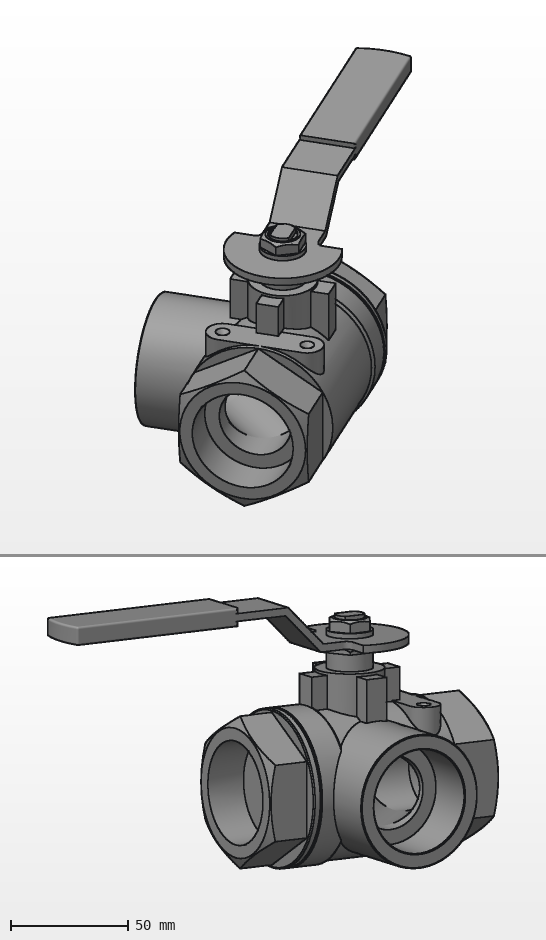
import cadquery as cq
import math


overall_height = 117.5
overall_length = 202.0
overall_width = 91.5
port_reach = 57.0

body_diameter = 66.5
body_front = -34.8
flange_diameter = 69.0
flange_start = 20.2
flange_end = 38.8
flange_rim_chamfer = 0.6
groove_center = 35.0
groove_width = 0.8
groove_depth = 0.5

hex_across_flats = 57.4
hex_face_diameter = 56.2
hex_corner_drop = 2.5
side_port_diameter = 58.0
side_port_chamfer = 0.5
socket_diameter = 45.0
pipe_socket_depth = 17.8
side_socket_depth = 23.5
side_socket_chamfer = 0.5
passage_diameter = 32.1
passage_bend_start = 24.2

lug_width = 14.3
lug_spacing = 37.8
lug_center_y = -25.5
lug_crest_drop = 0.0087
lug_dimple_diameter = 6.0
lug_dimple_angle = 90.0

housing_diameter = 30.0
housing_top = 48.7
rib_span = 44.0
rib_width = 10.0
rib_top = 47.5

stem_diameter = 20.0
lock_nut_bottom = 56.5
lock_nut_across_flats = 23.2
lock_nut_face_diameter = 22.8
lock_nut_corner_drop = 1.8
washer_diameter = 20.0
washer_top = 65.3
top_nut_across_flats = 17.2
top_nut_face_diameter = 15.0
top_nut_corner_drop = 1.2
top_nut_top = 70.5
tip_diameter = 12.7
tip_flats = 8.5
tip_flats_bottom = 69.5
tip_top = 72.0

plate_diameter = 50.5
plate_bottom = 59.6
plate_back = 7.9
lever_thickness = 3.5
lever_width = 24.9
lever_bend_y = 20.6
lever_bend_angle = 45.0
lever_corner_radius = 3.0

grip_height = 8.0
grip_start = 63.0
grip_end_bulge = 1.8
grip_edge_radius = 1.0

body_radius = body_diameter / 2
flange_radius = flange_diameter / 2
side_port_reach = overall_width - flange_radius
lug_top = body_radius - lug_crest_drop
lever_tip = overall_length - port_reach
grip_top = overall_height - flange_radius
grip_middle = grip_top - grip_height / 2


def cylinder(diameter, bottom, top):
    """Round bar along Z."""
    return cq.Workplane("XY").workplane(offset=bottom).circle(diameter / 2).extrude(top - bottom)


def cylinder_y(diameter, start, end):
    """Round bar along Y."""
    return cq.Workplane("XZ", origin=(0, start, 0)).circle(diameter / 2).extrude(start - end)


def cylinder_x(diameter, start, end):
    """Round bar along X."""
    return cq.Workplane("YZ", origin=(start, 0, 0)).circle(diameter / 2).extrude(end - start)


def chamfered_hex(across_flats, bottom, top, face_diameter, corner_drop):
    """Hexagon along Z with corners toward +Y and -Y and a turned chamfer on its upper end."""
    corner_radius = across_flats / 2 / math.cos(math.radians(30))
    prism = (
        cq.Workplane("XY")
        .workplane(offset=bottom)
        .transformed(rotate=(0, 0, 90))
        .polygon(6, 2 * corner_radius)
        .extrude(top - bottom)
    )
    turned = (
        cq.Workplane("XZ")
        .moveTo(0, bottom)
        .lineTo(corner_radius, bottom)
        .lineTo(corner_radius, top - corner_drop)
        .lineTo(face_diameter / 2, top)
        .lineTo(0, top)
        .close()
        .revolve(360, (0, 0, 0), (0, 1, 0))
    )
    return prism.intersect(turned)


def pipe_hex(inner_end, turn):
    """Hexagonal pipe end, turned about X from the Z axis onto the Y axis."""
    end = chamfered_hex(hex_across_flats, inner_end, port_reach, hex_face_diameter, hex_corner_drop)
    return end.rotate((0, 0, 0), (1, 0, 0), turn)


def make_flange():
    """Collar at the back of the body, sloping down to it and grooved near its outer end."""
    flange = cylinder_y(flange_diameter, flange_start, flange_end)
    flange = flange.faces("<Y").chamfer(flange_radius - body_radius)
    flange = flange.faces(">Y").chamfer(flange_rim_chamfer)
    groove_start = groove_center - groove_width / 2
    groove_ring = cylinder_y(flange_diameter, groove_start, groove_start + groove_width)
    groove_ring = groove_ring.cut(cylinder_y(flange_diameter - 2 * groove_depth, flange_start, flange_end))
    return flange.cut(groove_ring)


def make_lugs():
    """Rounded bar across the top of the body, merging downward into it."""
    return (
        cq.Workplane("XY", origin=(0, lug_center_y, 0))
        .slot2D(lug_spacing + lug_width, lug_width)
        .extrude(lug_top)
    )


def make_lug_dimples():
    """Two conical dimples in the top of the lugs."""
    dimple_radius = lug_dimple_diameter / 2
    depth = dimple_radius / math.tan(math.radians(lug_dimple_angle / 2))
    cone = cq.Workplane(cq.Solid.makeCone(0, dimple_radius, depth))
    cone = cone.translate((0, lug_center_y, lug_top - depth))
    left_dimple = cone.translate((-lug_spacing / 2, 0, 0))
    right_dimple = cone.translate((lug_spacing / 2, 0, 0))
    return left_dimple.union(right_dimple)


def make_housing():
    """Round stem housing with a cross of four ribs."""
    housing = cylinder(housing_diameter, 0, housing_top)
    for length_x, length_y in ((rib_span, rib_width), (rib_width, rib_span)):
        housing = housing.union(cq.Workplane("XY").rect(length_x, length_y).extrude(rib_top))
    return housing


def make_passage():
    """Elbow from the front port to the side port: three equal bores with mitred joints."""
    path = cq.Workplane("XY").polyline([
        (0, -port_reach),
        (0, -passage_bend_start),
        (-passage_bend_start, 0),
        (-side_port_reach, 0),
    ])
    section = cq.Workplane("XZ", origin=(0, -port_reach, 0)).circle(passage_diameter / 2)
    return section.sweep(path, transition="right")


def make_sockets():
    """Wide bores at the mouths of the three ports."""
    side = cylinder_x(socket_diameter, -side_port_reach, side_socket_depth - side_port_reach)
    front = cylinder_y(socket_diameter, -port_reach, pipe_socket_depth - port_reach)
    back = cylinder_y(socket_diameter, port_reach - pipe_socket_depth, port_reach)
    side_rim = cq.Workplane(cq.Solid.makeCone(
        socket_diameter / 2 + side_socket_chamfer,
        socket_diameter / 2,
        side_socket_chamfer,
        pnt=cq.Vector(-side_port_reach, 0, 0),
        dir=cq.Vector(1, 0, 0),
    ))
    return front.union(back).union(side).union(side_rim)


def make_stem():
    """Stem with lock nut, washer, top nut and a two-flat tip."""
    stem = cylinder(stem_diameter, housing_top, plate_bottom)
    stem = stem.union(chamfered_hex(
        lock_nut_across_flats, lock_nut_bottom, plate_bottom, lock_nut_face_diameter, lock_nut_corner_drop,
    ))
    stem = stem.union(cylinder(washer_diameter, plate_bottom, washer_top))
    stem = stem.union(chamfered_hex(
        top_nut_across_flats, washer_top, top_nut_top, top_nut_face_diameter, top_nut_corner_drop,
    ))
    stem = stem.union(cylinder(tip_diameter, top_nut_top, tip_top))
    flat_bar = cq.Workplane("XY").rect(tip_flats, tip_diameter).extrude(tip_top)
    return stem.cut(cylinder(tip_diameter, tip_flats_bottom, tip_top).cut(flat_bar))


def make_lever():
    """Round plate around the stem and a strip bent up and away from it."""
    plate_top = plate_bottom + lever_thickness
    strip_bottom = grip_middle - lever_thickness / 2
    rise = strip_bottom - plate_bottom
    run = rise / math.tan(math.radians(lever_bend_angle))
    miter = lever_thickness * math.tan(math.radians(lever_bend_angle / 2))
    second_bend_y = lever_bend_y + run
    strip_end = grip_start + 2 * grip_edge_radius
    strip = (
        cq.Workplane("YZ")
        .moveTo(0, plate_bottom)
        .lineTo(lever_bend_y + miter, plate_bottom)
        .lineTo(second_bend_y + miter, strip_bottom)
        .lineTo(strip_end, strip_bottom)
        .lineTo(strip_end, strip_bottom + lever_thickness)
        .lineTo(second_bend_y, strip_bottom + lever_thickness)
        .lineTo(lever_bend_y, plate_top)
        .lineTo(0, plate_top)
        .close()
        .extrude(lever_width / 2, both=True)
    )
    plate = cylinder(plate_diameter, plate_bottom, plate_top)
    behind_plate = (
        cq.Workplane("XY", origin=(0, plate_back, plate_bottom))
        .rect(plate_diameter, plate_diameter)
        .extrude(lever_thickness)
        .translate((0, plate_diameter / 2, 0))
    )
    lever = plate.cut(behind_plate).union(strip)
    inner_corners = cq.selectors.BoxSelector(
        (-lever_width / 2 - lever_corner_radius, plate_back - lever_corner_radius, plate_bottom),
        (lever_width / 2 + lever_corner_radius, plate_back + lever_corner_radius, plate_top),
    )
    lever = lever.edges("|Z").edges(inner_corners).fillet(lever_corner_radius)
    return lever.union(make_grip(), clean=True)


def make_grip():
    """Flat sleeve with a bulged outer end and softened edges."""
    half_width = lever_width / 2
    grip = (
        cq.Workplane("XY", origin=(0, 0, grip_top - grip_height))
        .moveTo(-half_width, grip_start)
        .lineTo(half_width, grip_start)
        .lineTo(half_width, lever_tip - grip_end_bulge)
        .threePointArc((0, lever_tip), (-half_width, lever_tip - grip_end_bulge))
        .close()
        .extrude(grip_height)
    )
    return grip.edges("not (<Y and |X)").fillet(grip_edge_radius)


body = cylinder_y(body_diameter, body_front, flange_end)
side_port = cylinder_x(side_port_diameter, -side_port_reach, 0).faces("<X").chamfer(side_port_chamfer)
body = body.union(side_port)
body = body.union(pipe_hex(-body_front, 90))
body = body.union(pipe_hex(flange_end, -90))
body = body.union(make_flange()).union(make_housing())
body = body.union(make_lugs()).cut(make_lug_dimples())
body = body.cut(make_passage()).cut(make_sockets())

result = body.union(make_stem()).union(make_lever())